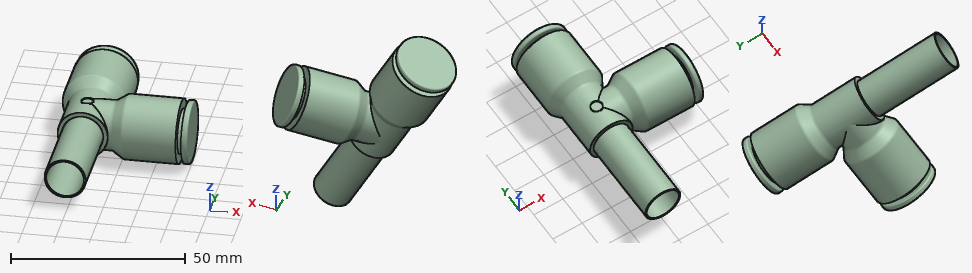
import cadquery as cq

NECK_RADIUS = 7.3
NECK_LENGTH = 7.65

TUBE_RADIUS = 6.0
TUBE_WALL = 0.5
TUBE_BORE_RADIUS = TUBE_RADIUS - TUBE_WALL
TUBE_LENGTH = 27.01
TUBE_END = -NECK_LENGTH - TUBE_LENGTH

SOCKET_RADIUS = 9.5
SOCKET_END = 27.35
CONE_START = 8.05
CONE_END = 11.5
CONE_BLEND_RADIUS = 1.2

COLLAR_RADIUS = 6.6
FLANGE_RADIUS = 9.25
FLANGE_START = 28.8
ARM_LENGTH = 30.65
FLANGE_EDGE_RADIUS = 0.5

RECESS_RADIUS = 1.8
RECESS_DEPTH = 0.4


def cylinder_along_y(radius, start, end):
    """Solid cylinder on the Y axis between two Y positions."""
    return cq.Workplane("XZ", origin=(0, start, 0)).circle(radius).extrude(start - end)


def make_socket():
    """Neck, cone and socket barrel revolved about the Y axis, with blended cone ends."""
    profile = (
        cq.Workplane("XY")
        .polyline([
            (0, 0),
            (NECK_RADIUS, 0),
            (NECK_RADIUS, CONE_START),
            (SOCKET_RADIUS, CONE_END),
            (SOCKET_RADIUS, SOCKET_END),
            (0, SOCKET_END),
        ])
        .close()
    )
    socket = profile.revolve(360, (0, 0, 0), (0, 1, 0))
    cone_ends = cq.selectors.BoxSelector(
        (-SOCKET_RADIUS, CONE_START - CONE_BLEND_RADIUS, -SOCKET_RADIUS),
        (SOCKET_RADIUS, CONE_END + CONE_BLEND_RADIUS, SOCKET_RADIUS),
    )
    return socket.edges("%CIRCLE").edges(cone_ends).fillet(CONE_BLEND_RADIUS)


def make_release_sleeve():
    """Collar and rounded flange at the mouth of a socket."""
    collar = cylinder_along_y(COLLAR_RADIUS, SOCKET_END, FLANGE_START)
    flange = cylinder_along_y(FLANGE_RADIUS, FLANGE_START, ARM_LENGTH)
    flange = flange.edges("%CIRCLE").fillet(FLANGE_EDGE_RADIUS)
    return collar.union(flange)


def make_arm():
    """Complete push-in arm pointing along +Y."""
    return make_socket().union(make_release_sleeve())


def make_plug_end():
    """Lower half of the run with the plug-in tube along -Y."""
    neck = cylinder_along_y(NECK_RADIUS, -NECK_LENGTH, 0)
    tube = cylinder_along_y(TUBE_RADIUS, TUBE_END, -NECK_LENGTH)
    return neck.union(tube)


def make_run():
    """Full run along Y: push-in arm on +Y, plug-in tube on -Y."""
    return make_arm().union(make_plug_end())


def make_branch():
    """Push-in arm turned to point along +X, its root buried in the run."""
    return make_arm().rotate((0, 0, 0), (0, 0, 1), -90)


def make_tube_bore():
    """Blind bore running the length of the plug-in tube."""
    return cylinder_along_y(TUBE_BORE_RADIUS, TUBE_END, -NECK_LENGTH)


def make_recess():
    """Cutter for the round recess in the top of the tee centre."""
    floor = NECK_RADIUS - RECESS_DEPTH
    return cq.Workplane("XY").workplane(offset=floor).circle(RECESS_RADIUS).extrude(2 * RECESS_DEPTH)


result = make_run().union(make_branch()).cut(make_tube_bore()).cut(make_recess())